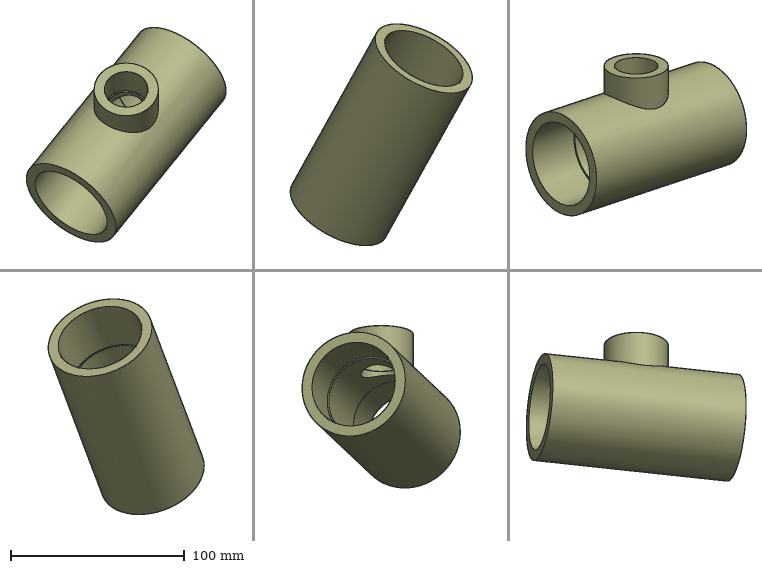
import cadquery as cq

run_length = 115.0
run_diameter = 62.0
run_socket_diameter = 49.9
run_bore_diameter = 48.1
run_socket_depth = 31.6

branch_diameter = 37.0
branch_socket_diameter = 25.0
branch_bore_diameter = 23.1
branch_socket_depth = 19.0
overall_height = 76.5
branch_top = overall_height - run_diameter / 2


def run_cylinder(diameter, length):
    """Cylinder along Y, centred on the origin."""
    return cq.Workplane("XZ").circle(diameter / 2).extrude(length / 2, both=True)


def branch_cylinder(diameter, bottom):
    """Vertical cylinder from the given height up to the branch mouth."""
    return cq.Workplane("XY").workplane(offset=bottom).circle(diameter / 2).extrude(branch_top - bottom)


body = run_cylinder(run_diameter, run_length).union(branch_cylinder(branch_diameter, 0))

stop_length = run_length - 2 * run_socket_depth
run_sockets = run_cylinder(run_socket_diameter, run_length).cut(
    run_cylinder(run_socket_diameter, stop_length)
)
body = body.cut(run_cylinder(run_bore_diameter, run_length)).cut(run_sockets)

body = body.cut(branch_cylinder(branch_bore_diameter, 0))
result = body.cut(branch_cylinder(branch_socket_diameter, branch_top - branch_socket_depth))